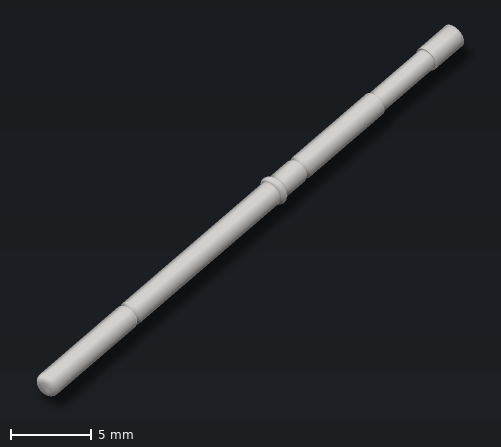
import cadquery as cq

length = 40.0
base_y = -length / 2
tip_y = length / 2

barrel_radius = 1.65 / 2
head_radius = barrel_radius
neck_radius = 0.7
base_flat_radius = 0.4
base_round = barrel_radius - base_flat_radius

dome_height = 0.3
head_end = 2.95
neck_end = 8.0

crimp_grooves = [(15.35, 0.5), (31.8, 0.4)]
crimp_depth = 0.1

ring_centre = 17.75
ring_width = 0.55
ring_radius = 1.0


def revolve_about_axis(profile):
    """Spin a closed (radius, Y) profile about the probe axis."""
    return profile.close().revolve(360, (0, 0, 0), (0, 1, 0))


def make_shaft():
    """Rounded base, barrel, neck and domed head."""
    neck_start_y = tip_y - neck_end
    head_start_y = tip_y - head_end
    dome_y = tip_y - dome_height
    dome_sphere = (head_radius**2 + dome_height**2) / (2 * dome_height)
    profile = (
        cq.Workplane("XY")
        .moveTo(0, base_y)
        .lineTo(base_flat_radius, base_y)
        .radiusArc((barrel_radius, base_y + base_round), -base_round)
        .lineTo(barrel_radius, neck_start_y)
        .lineTo(neck_radius, neck_start_y)
        .lineTo(neck_radius, head_start_y)
        .lineTo(head_radius, head_start_y)
        .lineTo(head_radius, dome_y)
        .radiusArc((0, tip_y), -dome_sphere)
    )
    return revolve_about_axis(profile)


def make_ring():
    """Disc whose rim is a half circle in section."""
    half_width = ring_width / 2
    centre_y = tip_y - ring_centre
    rim_start = ring_radius - half_width
    profile = (
        cq.Workplane("XY")
        .moveTo(0, centre_y - half_width)
        .lineTo(rim_start, centre_y - half_width)
        .threePointArc((ring_radius, centre_y), (rim_start, centre_y + half_width))
        .lineTo(0, centre_y + half_width)
    )
    return revolve_about_axis(profile)


def make_crimp_cutter(distance, width):
    """Ring that cuts a V groove into the barrel."""
    centre_y = tip_y - distance
    profile = (
        cq.Workplane("XY")
        .moveTo(barrel_radius, centre_y - width / 2)
        .lineTo(barrel_radius - crimp_depth, centre_y)
        .lineTo(barrel_radius, centre_y + width / 2)
    )
    return revolve_about_axis(profile)


result = make_shaft().union(make_ring())
for groove_distance, groove_width in crimp_grooves:
    result = result.cut(make_crimp_cutter(groove_distance, groove_width))